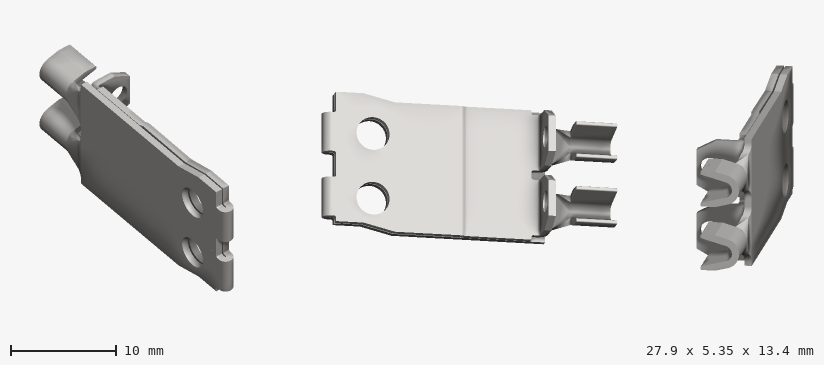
import cadquery as cq
import math

SHEET = 0.7
WIDTH = 6.31
HALF_WIDTH = WIDTH / 2
NOSE_STEP = 0.73
CORNER_RADIUS = 0.2

LENGTH = 27.95
BARREL_END = 3.97
NECK_END = 5.73
BLADE_START = 6.31
SLOPE_START = 21.05
SLOPE_END = 24.08
NOSE_END = 26.75

FOLD_GAP = 0.15
FOLD_HALF_WIDTH = 1.9
FOLD_RADIUS = SHEET + FOLD_GAP / 2
FOLD_CENTER_X = LENGTH - FOLD_RADIUS

REST_GAP = 0.05
RAISED_GAP = 0.22
STEP_START = 14.2
STEP_END = 14.53
BACK_START = 7.8

TAB_HEIGHT = 5.35
TAB_HALF_WIDTH = 2.7
TAB_TIP_HALF_WIDTH = 1.73
TAB_TAPER_START = 3.52
BEND_INNER_RADIUS = 0.2
TAB_HOLE_DIAMETER = 2.07
TAB_HOLE_Y = 3.97

BLADE_HOLE_DIAMETER = 3.19
BLADE_HOLE_X = 23.15

BARREL_RADIUS = 1.48
BARREL_HALF_WIDTH = 1.75
BARREL_HEIGHT = 3.72
WING_ANGLE = math.radians(15)
WING_TIP_FILLET = 0.1

NECK_LIFT = 0.17
NECK_FLARE_RADIUS = 0.92
NECK_FLARE_HALF_WIDTH = 2.7
NECK_TIP_ANGLE = math.radians(5)
NECK_CORNER_WIDTH = 0.03

LOWER_LEFT = -0.75 * math.pi
LOWER_RIGHT = -0.25 * math.pi

CUT_LENGTH = 4 * WIDTH



def circle_point(center_x, center_y, radius, angle):
    """Point at the given angle on a circle."""
    return (center_x + radius * math.cos(angle), center_y + radius * math.sin(angle))


def leaf_plan(nose_half_width, neck_half_width, neck_radius, full_width_x):
    """Outline of one leaf in XZ: rounded neck, full width, sloped nose, fold strip; cut along Y."""
    r = CORNER_RADIUS
    neck_middle = circle_point(
        full_width_x - neck_radius, neck_half_width + neck_radius, neck_radius, LOWER_RIGHT
    )
    corner_middle = circle_point(NOSE_END + r, FOLD_HALF_WIDTH + r, r, LOWER_LEFT)
    return (
        cq.Workplane("XZ")
        .lineTo(0, neck_half_width)
        .lineTo(full_width_x - neck_radius, neck_half_width)
        .threePointArc(neck_middle, (full_width_x, neck_half_width + neck_radius))
        .lineTo(full_width_x, HALF_WIDTH)
        .lineTo(SLOPE_START, HALF_WIDTH)
        .lineTo(SLOPE_END, nose_half_width)
        .lineTo(NOSE_END, nose_half_width)
        .lineTo(NOSE_END, FOLD_HALF_WIDTH + r)
        .threePointArc(corner_middle, (NOSE_END + r, FOLD_HALF_WIDTH))
        .lineTo(LENGTH, FOLD_HALF_WIDTH)
        .lineTo(LENGTH, 0)
        .mirrorX()
        .extrude(CUT_LENGTH, both=True)
    )


def front_leaf(nose_half_width):
    """Flat leaf with the ramp at its left end and the fold at its right end."""
    profile = (
        cq.Workplane("XY")
        .moveTo(NECK_END, NECK_LIFT)
        .lineTo(BLADE_START, 0)
        .lineTo(FOLD_CENTER_X, 0)
        .threePointArc((LENGTH, FOLD_RADIUS), (FOLD_CENTER_X, 2 * FOLD_RADIUS))
        .lineTo(FOLD_CENTER_X, SHEET + FOLD_GAP)
        .threePointArc((FOLD_CENTER_X + FOLD_GAP / 2, FOLD_RADIUS), (FOLD_CENTER_X, SHEET))
        .lineTo(BLADE_START, SHEET)
        .lineTo(NECK_END, NECK_LIFT + SHEET)
        .close()
        .extrude(CUT_LENGTH, both=True)
    )
    neck_half_width = NECK_FLARE_HALF_WIDTH - NECK_FLARE_RADIUS
    return profile.intersect(
        leaf_plan(nose_half_width, neck_half_width, NECK_FLARE_RADIUS, BLADE_START)
    )


def tab_outline():
    """Tapered outline of the bent-up tab in YZ, wide enough below it to keep the back leaf."""
    return (
        cq.Workplane("YZ")
        .lineTo(0, CUT_LENGTH)
        .lineTo(TAB_TAPER_START, CUT_LENGTH)
        .lineTo(TAB_TAPER_START, TAB_HALF_WIDTH)
        .lineTo(TAB_HEIGHT, TAB_TIP_HALF_WIDTH)
        .lineTo(TAB_HEIGHT, 0)
        .mirrorX()
        .extrude(LENGTH)
    )


def back_leaf(nose_half_width):
    """Leaf behind the front one: leaning from the fold, stepped down, then bent up into the tab."""
    rest_inner_y = SHEET + REST_GAP
    rest_outer_y = rest_inner_y + SHEET
    raised_inner_y = SHEET + RAISED_GAP
    raised_outer_y = raised_inner_y + SHEET
    bend_outer_radius = BEND_INNER_RADIUS + SHEET
    bend_x = BLADE_START + bend_outer_radius
    bend_y = rest_inner_y + bend_outer_radius
    profile = (
        cq.Workplane("XY")
        .moveTo(FOLD_CENTER_X, SHEET + FOLD_GAP)
        .lineTo(STEP_END, raised_inner_y)
        .lineTo(STEP_START, rest_inner_y)
        .lineTo(bend_x, rest_inner_y)
        .threePointArc(
            circle_point(bend_x, bend_y, bend_outer_radius, LOWER_LEFT), (BLADE_START, bend_y)
        )
        .lineTo(BLADE_START, TAB_HEIGHT)
        .lineTo(BLADE_START + SHEET, TAB_HEIGHT)
        .lineTo(BLADE_START + SHEET, bend_y)
        .threePointArc(
            circle_point(bend_x, bend_y, BEND_INNER_RADIUS, LOWER_LEFT), (bend_x, rest_outer_y)
        )
        .lineTo(STEP_START, rest_outer_y)
        .lineTo(STEP_END, raised_outer_y)
        .lineTo(FOLD_CENTER_X, 2 * FOLD_RADIUS)
        .close()
        .extrude(CUT_LENGTH, both=True)
    )
    tab_hole = (
        cq.Workplane("YZ")
        .center(TAB_HOLE_Y, 0)
        .circle(TAB_HOLE_DIAMETER / 2)
        .extrude(CUT_LENGTH)
    )
    plan = leaf_plan(nose_half_width, TAB_HALF_WIDTH, CORNER_RADIUS, BACK_START)
    return profile.intersect(plan).intersect(tab_outline()).cut(tab_hole)


def barrel_arc_end(radius):
    """Z and Y of the point where a barrel arc of this radius runs into a straight wing."""
    return (
        radius * math.cos(WING_ANGLE),
        BARREL_RADIUS - radius * math.sin(WING_ANGLE),
    )


def barrel_plane(x):
    """Plane across the barrel whose local axes are Z and Y."""
    return cq.Workplane(cq.Plane(origin=(x, 0, 0), xDir=(0, 0, 1), normal=(-1, 0, 0)))


def barrel():
    """U-shaped crimp barrel with leaning wings and flattened outer sides."""
    inner_radius = BARREL_RADIUS - SHEET
    outer_z, outer_y = barrel_arc_end(BARREL_RADIUS)
    inner_z, inner_y = barrel_arc_end(inner_radius)
    lean = math.tan(WING_ANGLE)
    flat_y = outer_y + (BARREL_HALF_WIDTH - outer_z) / lean
    tip_inner_z = inner_z + (BARREL_HEIGHT - inner_y) * lean
    section = (
        barrel_plane(BARREL_END)
        .moveTo(-outer_z, outer_y)
        .threePointArc((0, 0), (outer_z, outer_y))
        .lineTo(BARREL_HALF_WIDTH, flat_y)
        .lineTo(BARREL_HALF_WIDTH, BARREL_HEIGHT)
        .lineTo(tip_inner_z, BARREL_HEIGHT)
        .lineTo(inner_z, inner_y)
        .threePointArc((0, SHEET), (-inner_z, inner_y))
        .lineTo(-tip_inner_z, BARREL_HEIGHT)
        .lineTo(-BARREL_HALF_WIDTH, BARREL_HEIGHT)
        .lineTo(-BARREL_HALF_WIDTH, flat_y)
        .close()
    )
    return section.extrude(BARREL_END).faces(">Y").edges("|X").fillet(WING_TIP_FILLET)


def neck_barrel_side(section, radius, direction):
    """Continue a section along a barrel arc, as two side arcs joined by a short bottom arc."""
    end_angle = math.pi / 2 - WING_ANGLE

    def point(angle):
        return (
            direction * radius * math.sin(angle),
            BARREL_RADIUS - radius * math.cos(angle),
        )

    side_angle = (end_angle + NECK_TIP_ANGLE) / 2
    return (
        section.threePointArc(point(-side_angle), point(-NECK_TIP_ANGLE))
        .threePointArc(point(0), point(NECK_TIP_ANGLE))
        .threePointArc(point(side_angle), point(end_angle))
    )


def neck():
    """Sheet between the barrel and the ramp: a flat triangle flanked by two cone-like sides."""
    ramp_offset = NECK_END - (BLADE_START - NECK_FLARE_RADIUS)
    half_width = NECK_FLARE_HALF_WIDTH - math.sqrt(NECK_FLARE_RADIUS**2 - ramp_offset**2)
    flat_half_width = half_width - NECK_CORNER_WIDTH
    front_y = NECK_LIFT
    back_y = NECK_LIFT + SHEET

    inner_radius = BARREL_RADIUS - SHEET
    outer_z, outer_y = barrel_arc_end(BARREL_RADIUS)
    barrel_section = barrel_plane(BARREL_END).moveTo(-outer_z, outer_y)
    barrel_section = neck_barrel_side(barrel_section, BARREL_RADIUS, 1)
    barrel_section = barrel_section.lineTo(*barrel_arc_end(inner_radius))
    barrel_section = neck_barrel_side(barrel_section, inner_radius, -1).close()
    return (
        barrel_section.workplane(offset=BARREL_END - NECK_END)
        .moveTo(-half_width, front_y)
        .lineTo(-flat_half_width, front_y)
        .lineTo(flat_half_width, front_y)
        .lineTo(half_width, front_y)
        .lineTo(half_width, back_y)
        .lineTo(flat_half_width, back_y)
        .lineTo(-flat_half_width, back_y)
        .lineTo(-half_width, back_y)
        .close()
        .loft(ruled=True)
    )


def terminal(nose_half_width):
    """One folded sheet terminal centred on Z = 0."""
    blade_hole = (
        cq.Workplane("XZ")
        .center(BLADE_HOLE_X, 0)
        .circle(BLADE_HOLE_DIAMETER / 2)
        .extrude(CUT_LENGTH, both=True)
    )
    leaves = front_leaf(nose_half_width).union(back_leaf(nose_half_width)).cut(blade_hole)
    return leaves.union(neck()).union(barrel())


narrow_terminal = terminal(HALF_WIDTH - NOSE_STEP)
wide_terminal = terminal(HALF_WIDTH + NOSE_STEP).translate((0, 0, WIDTH))

result = cq.Compound.makeCompound([narrow_terminal.val(), wide_terminal.val()])